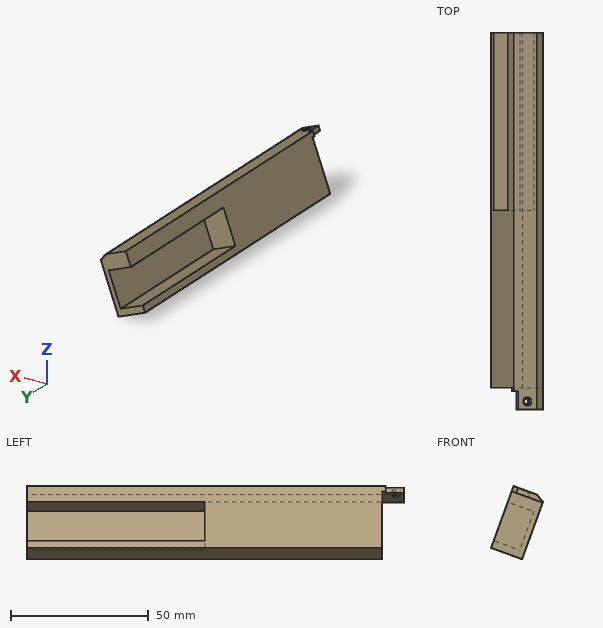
import cadquery as cq

length = 137.0
width = 12.0
height = 24.0
tilt_angle = 20.0

plate_thickness = 2.0
body_setback = 8.0
notch_length = 6.7
notch_width = 1.8

bevel_width = 3.0
bevel_depth = 1.8

pocket_depth = 10.0
pocket_height = 15.0
pocket_floor = 2.9
pocket_length = (length - body_setback) / 2

hole_diameter = 2.0
countersink_diameter = 3.2
countersink_angle = 90.0
hole_from_left = 5.3
hole_from_front = 3.0

plate_bottom = height - plate_thickness


def box(size, corner):
    """Box of the given size with its lowest corner at the given point."""
    return cq.Workplane("XY").box(*size, centered=False).translate(corner)


def beveled_bar():
    profile = [
        (0, 0),
        (width, 0),
        (width, height - bevel_depth),
        (width - bevel_width, height),
        (0, height),
    ]
    return cq.Workplane("XZ").polyline(profile).close().extrude(-length)


def cut_tongue(bar):
    below_plate = box((width, body_setback, plate_bottom), (0, 0, 0))
    side_notch = box((notch_width, notch_length, plate_thickness), (0, 0, plate_bottom))
    return bar.cut(below_plate).cut(side_notch)


def cut_pocket(bar):
    pocket = box(
        (pocket_depth, pocket_length, pocket_height),
        (0, length - pocket_length, pocket_floor),
    )
    return bar.cut(pocket)


def drill_tongue(bar):
    return (
        bar.copyWorkplane(cq.Workplane("XY", origin=(hole_from_left, hole_from_front, height)))
        .cskHole(hole_diameter, countersink_diameter, countersink_angle, depth=plate_thickness)
    )


bar = drill_tongue(cut_pocket(cut_tongue(beveled_bar())))
result = bar.rotate((0, 0, 0), (0, 1, 0), tilt_angle)